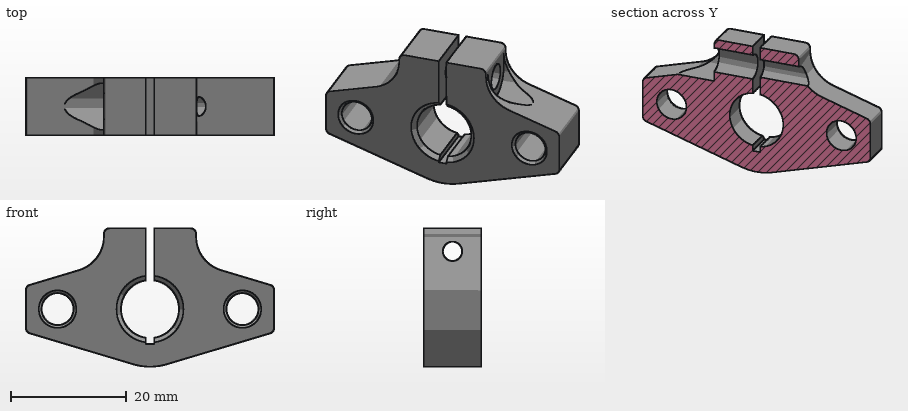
import cadquery as cq
import math

width = 43.0
depth = 10.0
top_z = 14.0
bottom_radius = 10.0
end_height = 8.0
corner_radius = 1.0

block_width = 16.0
shoulder_radius = 6.0

bore_diameter = 10.0
bore_chamfer = 0.8
slit_width = 1.4
slit_bottom_z = -6.0

mount_spacing = 32.0
mount_diameter = 5.5
mount_chamfer = 0.5

screw_z = 10.0
clearance_diameter = 4.5
tap_diameter = 3.3
head_recess_diameter = 8.0

half_width = width / 2
half_depth = depth / 2
half_block = block_width / 2
half_end = end_height / 2

flank_angle = math.asin(bottom_radius / math.hypot(half_width, half_end)) - math.atan2(half_end, half_width)


def make_body():
    """Extrude the symmetric outline, then round its convex and concave corners."""
    shoulder_z = half_end + (half_width - half_block) * math.tan(flank_angle)
    tangent_x = bottom_radius * math.sin(flank_angle)
    tangent_z = -bottom_radius * math.cos(flank_angle)
    body = (
        cq.Workplane("XZ", origin=(0, half_depth, 0))
        .moveTo(-half_block, top_z)
        .lineTo(half_block, top_z)
        .lineTo(half_block, shoulder_z)
        .lineTo(half_width, half_end)
        .lineTo(half_width, -half_end)
        .lineTo(tangent_x, tangent_z)
        .threePointArc((0, -bottom_radius), (-tangent_x, tangent_z))
        .lineTo(-half_width, -half_end)
        .lineTo(-half_width, half_end)
        .lineTo(-half_block, shoulder_z)
        .close()
        .extrude(depth)
    )
    shoulders = [(side * half_block, 0, shoulder_z) for side in (-1, 1)]
    for point in shoulders:
        body = body.edges(cq.NearestToPointSelector(point)).fillet(shoulder_radius)
    corners = [
        (side * x, 0, z)
        for side in (-1, 1)
        for x, z in ((half_block, top_z), (half_width, half_end), (half_width, -half_end))
    ]
    for point in corners:
        body = body.edges(cq.NearestToPointSelector(point)).fillet(corner_radius)
    return body


def chamfered_hole(x, diameter, chamfer):
    """Cutter along Y at height zero, with a 45 degree chamfer at both faces."""
    radius = diameter / 2
    mouth_radius = radius + chamfer
    straight_end = half_depth - chamfer
    return (
        cq.Workplane("XY")
        .moveTo(0, -half_depth)
        .lineTo(mouth_radius, -half_depth)
        .lineTo(radius, -straight_end)
        .lineTo(radius, straight_end)
        .lineTo(mouth_radius, half_depth)
        .lineTo(0, half_depth)
        .close()
        .revolve(360, (0, 0, 0), (0, 1, 0))
        .translate((x, 0, 0))
    )


def make_slit():
    """Slit from the top through the bore and into the bore floor."""
    height = top_z - slit_bottom_z
    return cq.Workplane("XY", origin=(0, 0, slit_bottom_z)).box(
        slit_width, depth, height, centered=(True, True, False)
    )


def cylinder_along_x(diameter, start_x, end_x):
    """Cylinder on the clamp screw axis between two X positions."""
    return (
        cq.Workplane("YZ", origin=(start_x, 0, screw_z))
        .circle(diameter / 2)
        .extrude(end_x - start_x)
    )


def make_head_recess():
    """Round-bottomed channel, open upward, that clears the screw head on the -X side."""
    length = half_width - half_block
    channel = cq.Workplane("XY", origin=(-half_width, 0, screw_z)).box(
        length, head_recess_diameter, top_z - screw_z, centered=(False, True, False)
    )
    return cylinder_along_x(head_recess_diameter, -half_width, -half_block).union(channel)


result = (
    make_body()
    .cut(chamfered_hole(0, bore_diameter, bore_chamfer))
    .cut(make_slit())
    .cut(make_head_recess())
    .cut(cylinder_along_x(clearance_diameter, -half_block, 0))
    .cut(cylinder_along_x(tap_diameter, 0, half_width))
)
for side in (-1, 1):
    result = result.cut(chamfered_hole(side * mount_spacing / 2, mount_diameter, mount_chamfer))